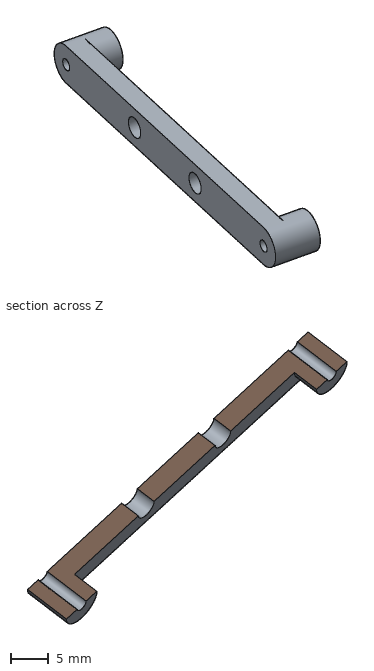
import cadquery as cq

length = 55.0
depth = 7.0
width = 6.0

bar_thickness = 3.0
end_hole_diameter = 1.7
middle_hole_diameter = 3.0
middle_hole_spacing = 15.0

boss_spacing = length - width


def cylinders_along_y(diameter, spacing):
    """A symmetric pair of full-depth cylinders running from the front face toward +Y."""
    return (
        cq.Workplane("XZ")
        .pushPoints([(-spacing / 2, 0), (spacing / 2, 0)])
        .circle(diameter / 2)
        .extrude(-depth)
    )


bar = cq.Workplane("XZ").rect(boss_spacing, width).extrude(-bar_thickness)

body = bar.union(cylinders_along_y(width, boss_spacing))

result = (
    body
    .cut(cylinders_along_y(end_hole_diameter, boss_spacing))
    .cut(cylinders_along_y(middle_hole_diameter, middle_hole_spacing))
)